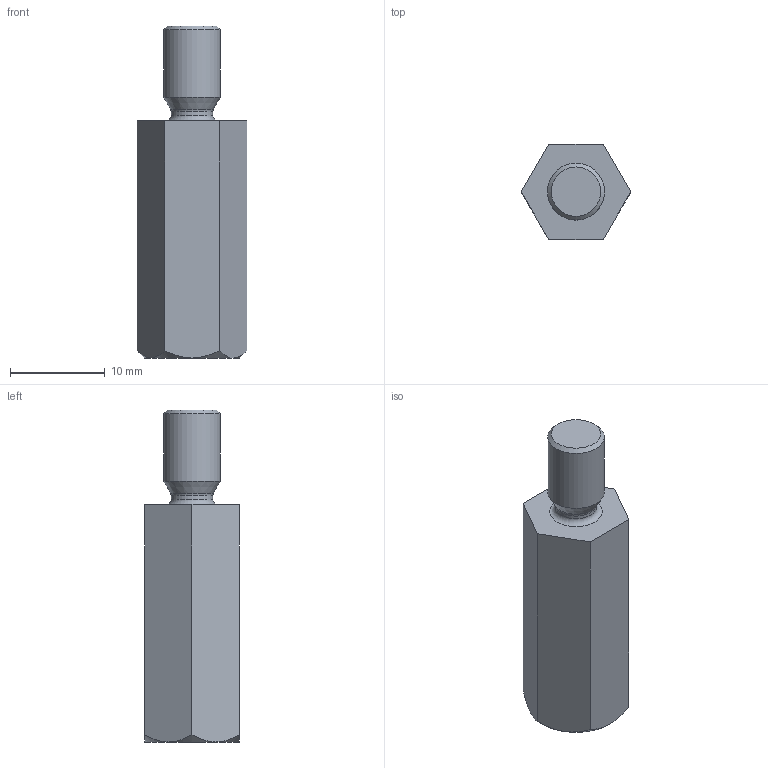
import cadquery as cq
import math

across_flats = 10.0
across_corners = across_flats / math.cos(math.radians(30))
body_length = 25.0
base_diameter = across_flats

stud_diameter = 6.0
stud_length = 10.0
tip_chamfer = 0.4

undercut_diameter = 4.38
undercut_length = 2.5
undercut_fillet = 0.6
runout_angle = math.radians(30)


def make_body():
    """Hexagonal prism with its lower corners turned off at 45 degrees."""
    hexagon = cq.Workplane("XY").polygon(6, across_corners).extrude(body_length)
    base_radius = base_diameter / 2
    corner_allowance = across_corners - base_radius
    envelope_radius = base_radius + corner_allowance
    envelope = (
        cq.Workplane("XZ")
        .lineTo(base_radius, 0)
        .lineTo(envelope_radius, corner_allowance)
        .lineTo(envelope_radius, body_length)
        .lineTo(0, body_length)
        .close()
        .revolve(360, (0, 0, 0), (0, 1, 0))
    )
    return hexagon.intersect(envelope)


def make_stud():
    """Revolved stud: filleted root, undercut neck, runout cone, chamfered tip."""
    stud_radius = stud_diameter / 2
    neck_radius = undercut_diameter / 2
    root_z = body_length
    tip_z = body_length + stud_length
    cone_top_z = body_length + undercut_length

    fillet_center = neck_radius + undercut_fillet
    cone_start = fillet_center - undercut_fillet * math.cos(runout_angle)
    cone_start_z = cone_top_z - (stud_radius - cone_start) / math.tan(runout_angle)
    upper_center_z = cone_start_z - undercut_fillet * math.sin(runout_angle)
    lower_center_z = root_z + undercut_fillet

    def arc_point(center_z, angle):
        """Point on a neck fillet, at an angle above its innermost point."""
        return (
            fillet_center - undercut_fillet * math.cos(angle),
            center_z + undercut_fillet * math.sin(angle),
        )

    return (
        cq.Workplane("XZ")
        .moveTo(0, root_z)
        .lineTo(fillet_center, root_z)
        .threePointArc(arc_point(lower_center_z, -math.pi / 4), (neck_radius, lower_center_z))
        .lineTo(neck_radius, upper_center_z)
        .threePointArc(arc_point(upper_center_z, runout_angle / 2), (cone_start, cone_start_z))
        .lineTo(stud_radius, cone_top_z)
        .lineTo(stud_radius, tip_z - tip_chamfer)
        .lineTo(stud_radius - tip_chamfer, tip_z)
        .lineTo(0, tip_z)
        .close()
        .revolve(360, (0, 0, 0), (0, 1, 0))
    )


result = make_body().union(make_stud())